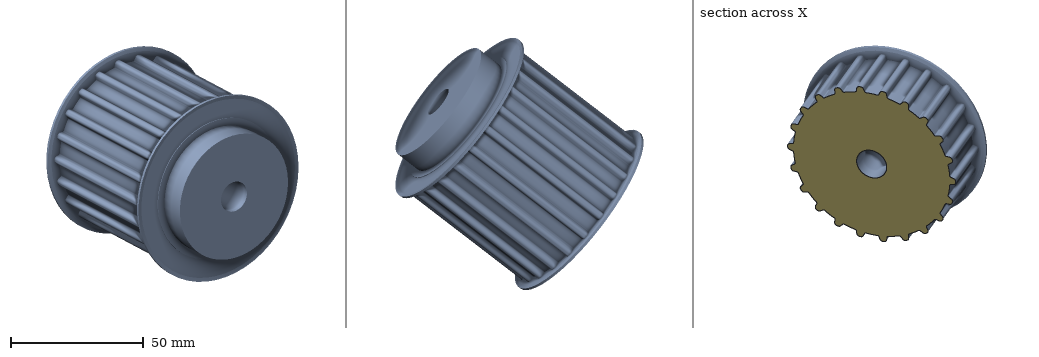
import cadquery as cq
import math


body_length = 60.0
hub_length = 10.0
hub_diameter = 50.0
bore_diameter = 12.0

tooth_count = 22
tip_diameter = 68.2
root_diameter = 63.5
tooth_tip_width = 2.31
groove_half_angle = 25.0
tip_fillet = 1.2
root_fillet = 0.5

flange_diameter = 74.0
bend_diameter = 71.0
seat_diameter = 56.0
flange_thickness = 1.0
flange_lean_angle = 10.0

flange_lean = (flange_diameter - bend_diameter) / 2 * math.tan(math.radians(flange_lean_angle))
flat_inner = flange_lean + flange_thickness
teeth_length = body_length - 2 * flat_inner
total_length = body_length + hub_length
tip_radius = tip_diameter / 2
root_radius = root_diameter / 2
tooth_pitch_angle = 360.0 / tooth_count
flank_angle = math.radians(groove_half_angle - tooth_pitch_angle / 2)

tooth_overlap = 1.0
match_tolerance = 0.01


def axial_cylinder(diameter, start, end):
    """Solid cylinder on the X axis between two X positions."""
    return cq.Workplane("YZ", origin=(start, 0, 0)).circle(diameter / 2).extrude(end - start)


def axial_edges_at(solid, radius):
    """Edges parallel to X that lie at the given distance from the axis."""
    return [
        edge for edge in solid.edges("|X").vals()
        if abs(math.hypot(edge.Center().y, edge.Center().z) - radius) < match_tolerance
    ]


def make_tooth():
    """One straight-flanked tooth, reaching past the root and tip circles."""
    half_tip = tooth_tip_width / 2
    corner_height = math.sqrt(tip_radius**2 - half_tip**2)
    inner_end = root_radius - tooth_overlap
    outer_end = tip_radius + tooth_overlap
    half_inner = half_tip + (corner_height - inner_end) * math.tan(flank_angle)
    half_outer = half_tip + (corner_height - outer_end) * math.tan(flank_angle)
    return (
        cq.Workplane("YZ", origin=(flat_inner, 0, 0))
        .polyline([
            (inner_end, -half_inner),
            (outer_end, -half_outer),
            (outer_end, half_outer),
            (inner_end, half_inner),
        ])
        .close()
        .extrude(teeth_length)
    )


def make_toothed_core():
    """Root cylinder with teeth between the flanges, rounded at tip and root."""
    teeth_end = flat_inner + teeth_length
    core = axial_cylinder(root_diameter, flat_inner, teeth_end)
    tooth = make_tooth()
    for index in range(tooth_count):
        core = core.union(tooth.rotate((0, 0, 0), (1, 0, 0), index * tooth_pitch_angle))
    core = core.intersect(axial_cylinder(tip_diameter, flat_inner, teeth_end))
    core = core.newObject(axial_edges_at(core, tip_radius)).fillet(tip_fillet)
    return core.newObject(axial_edges_at(core, root_radius)).fillet(root_fillet)


def make_flange():
    """Flange at the -X end: a flat ring whose outer band leans towards -X."""
    return (
        cq.Workplane("XY")
        .polyline([
            (flange_lean, seat_diameter / 2),
            (flange_lean, bend_diameter / 2),
            (0, flange_diameter / 2),
            (flange_thickness, flange_diameter / 2),
            (flat_inner, bend_diameter / 2),
            (flat_inner, seat_diameter / 2),
        ])
        .close()
        .revolve(360, (0, 0, 0), (1, 0, 0))
    )


left_flange = make_flange()
right_flange = left_flange.mirror("YZ").translate((body_length, 0, 0))
shoulder = axial_cylinder(seat_diameter, 0, body_length)
hub = axial_cylinder(hub_diameter, body_length / 2, total_length)
bore = axial_cylinder(bore_diameter, 0, total_length)

result = (
    make_toothed_core()
    .union(shoulder)
    .union(left_flange)
    .union(right_flange)
    .union(hub)
    .cut(bore)
)